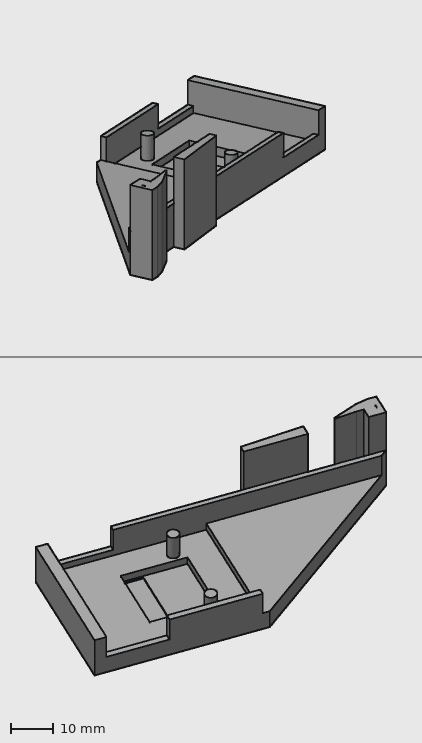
import cadquery as cq

length = 89.5
tray_width = 36.0
clip_height = 23.0
wall_height = 11.1

back_wall = 3.0
left_wall = 1.6
right_wall = 1.4
nose_level = 5.0
rail_level = 4.8
floor_level = 3.0
taper_start_y = 44.75
nose_edge_y = 46.5
notch_end_y = 70.35

window_left = 9.4
window_width = 17.8
window_back_y = 71.5
window_length = 17.1
window_level = 1.0
step_width = 17.3
step_length = 5.6
step_depth = 0.3

left_pin_diameter = 3.1
right_pin_diameter = 3.0
pin_top = 9.5
pin_y = 57.1
pin_left_x = 6.5
pin_spacing = 23.0

tab_front_y = 20.0
tab_back_y = 36.4
tab_front_thickness = 2.95
tab_back_thickness = 1.9
hook_reach = 6.1
hook_root = 4.5
hook_gap = 2.95
hook_bend_y = 6.4
hook_tip_y = 12.1
hook_tip_inner = 2.5
hook_tip_outer = 2.9
hook_knee_y = 5.5
hook_knee_reach = 5.5
hook_side_y = 2.3

slit_offset = 2.5
slit_length = 0.7
slit_y = 1.3
slit_width = 0.1


def block(x_min, x_max, y_min, y_max, z_min, z_max):
    """Box given by its limits along each axis."""
    size = (x_max - x_min, y_max - y_min, z_max - z_min)
    return cq.Workplane("XY").box(*size, centered=False).translate((x_min, y_min, z_min))


def prism(points, height):
    """Upright prism standing on the base plane."""
    return cq.Workplane("XY").polyline(points).close().extrude(height)


def make_tray():
    outline = [(0, length), (0, taper_start_y), (tray_width, 0), (tray_width, length)]
    tray = prism(outline, wall_height)
    inner_right = tray_width - right_wall
    inner_back = length - back_wall

    nose_space = block(0, inner_right, 0, nose_edge_y, nose_level, wall_height)
    floor_recess = block(left_wall, inner_right, nose_edge_y, inner_back, floor_level, wall_height)
    side_notches = block(0, tray_width, notch_end_y, inner_back, rail_level, wall_height)
    return tray.cut(nose_space).cut(floor_recess).cut(side_notches)


def make_window():
    window = block(
        window_left, window_left + window_width,
        window_back_y - window_length, window_back_y,
        window_level, floor_level,
    )
    step = block(
        window_left, window_left + step_width,
        window_back_y - step_length, window_back_y,
        window_level - step_depth, window_level,
    )
    return window.union(step)


def make_pins():
    left_pin = cq.Workplane("XY").center(pin_left_x, pin_y).circle(left_pin_diameter / 2).extrude(pin_top)
    right_x = pin_left_x + pin_spacing
    right_pin = cq.Workplane("XY").center(right_x, pin_y).circle(right_pin_diameter / 2).extrude(pin_top)
    return left_pin.union(right_pin)


def make_tab():
    outline = [
        (tray_width, tab_front_y),
        (tray_width + tab_front_thickness, tab_front_y),
        (tray_width + tab_back_thickness, tab_back_y),
        (tray_width, tab_back_y),
    ]
    return prism(outline, clip_height)


def make_hook():
    outline = [
        (tray_width, 0),
        (tray_width + hook_reach, 0),
        (tray_width + hook_reach, hook_side_y),
        (tray_width + hook_knee_reach, hook_knee_y),
        (tray_width + hook_tip_outer, hook_tip_y),
        (tray_width + hook_tip_inner, hook_tip_y),
        (tray_width + hook_gap, hook_bend_y),
        (tray_width + hook_gap, hook_root),
        (tray_width, hook_root),
    ]
    slit_x = tray_width + slit_offset
    slit = block(slit_x, slit_x + slit_length, slit_y, slit_y + slit_width, 0, clip_height)
    return prism(outline, clip_height).cut(slit)


result = make_tray().union(make_pins()).cut(make_window()).union(make_tab()).union(make_hook())